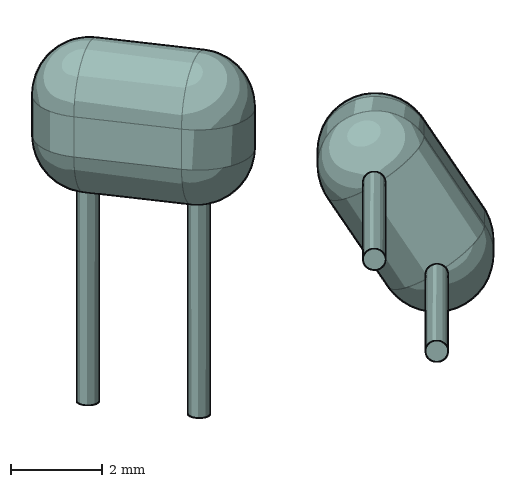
import cadquery as cq

overall_height = 8.6
body_length = 5.0
body_thickness = 2.54
body_height = 3.5

lead_diameter = 0.5
lead_pitch = 2.54
lead_insertion = 0.5

body_radius = body_thickness / 2
body_bottom = 0.0
body_top = body_bottom + body_height
lead_bottom = body_top - overall_height
lead_top = body_bottom + lead_insertion
lead_positions = [-lead_pitch / 2, lead_pitch / 2]


def make_lead(x):
    """Straight round lead whose upper end sits inside the body."""
    return (
        cq.Workplane("XY", origin=(x, 0, lead_bottom))
        .circle(lead_diameter / 2)
        .extrude(lead_top - lead_bottom)
    )


def make_end_cap(side):
    """Upright capsule at one end of the body; side is -1 or +1 along X."""
    axis_x = side * (body_length / 2 - body_radius)
    lower_center = body_bottom + body_radius
    upper_center = body_top - body_radius
    return (
        cq.Workplane("XZ", origin=(axis_x, 0, 0))
        .moveTo(0, body_bottom)
        .radiusArc((body_radius, lower_center), -body_radius)
        .lineTo(body_radius, upper_center)
        .radiusArc((0, body_top), -body_radius)
        .close()
        .revolve(360, (0, 0, 0), (0, 1, 0))
    )


def make_body(leads):
    """Slot-section bar with capsule ends and a matching recess for each lead."""
    middle_length = body_length - body_thickness
    body_mid_height = (body_bottom + body_top) / 2
    body = (
        cq.Workplane("YZ", origin=(-middle_length / 2, 0, body_mid_height))
        .slot2D(body_height, body_thickness, angle=90)
        .extrude(middle_length)
    )
    for side in (-1, 1):
        body = body.union(make_end_cap(side))
    for lead in leads:
        body = body.cut(lead)
    return body


leads = [make_lead(x) for x in lead_positions]
body = make_body(leads)

result = cq.Compound.makeCompound([body.solids().val(), *[lead.val() for lead in leads]])